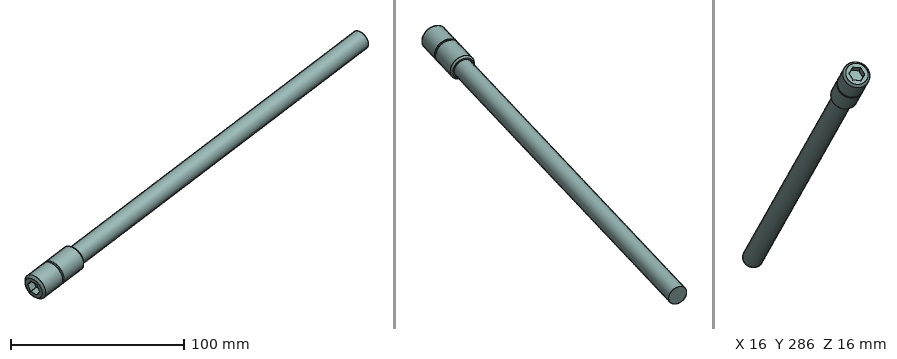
import cadquery as cq
import math

TOTAL_LENGTH = 286.0
HEAD_DIAMETER = 16.0
HEAD_LENGTH = 35.8
ROD_DIAMETER = 12.0

CAP_LENGTH = 16.3
CAP_CHAMFER = 1.5
COLLAR_CHAMFER = 1.1

SOCKET_ACROSS_FLATS = 8.0
SOCKET_DEPTH = 5.0

FRONT_Y = -TOTAL_LENGTH / 2
JOINT_Y = FRONT_Y + CAP_LENGTH
COLLAR_BACK_Y = FRONT_Y + HEAD_LENGTH


def plane_facing_back(y):
    """Plane across the axis at y, with its normal toward +Y."""
    return cq.Workplane(cq.Plane(origin=(0, y, 0), xDir=(1, 0, 0), normal=(0, 1, 0)))


def cylinder(start_y, length, diameter):
    return plane_facing_back(start_y).circle(diameter / 2).extrude(length)


def make_rod():
    """Long rod with a collar, chamfered on both rims, at its -Y end."""
    collar = cylinder(JOINT_Y, HEAD_LENGTH - CAP_LENGTH, HEAD_DIAMETER)
    collar = collar.faces("<Y").chamfer(COLLAR_CHAMFER)
    collar = collar.faces(">Y").chamfer(COLLAR_CHAMFER)
    shaft = cylinder(COLLAR_BACK_Y, TOTAL_LENGTH - HEAD_LENGTH, ROD_DIAMETER)
    return collar.union(shaft)


def make_cap():
    """Chamfered end cap with a blind hex socket, two flats level with XY."""
    cap = cylinder(FRONT_Y, CAP_LENGTH, HEAD_DIAMETER)
    cap = cap.faces("<Y").chamfer(CAP_CHAMFER)
    across_corners = SOCKET_ACROSS_FLATS / math.cos(math.pi / 6)
    socket = plane_facing_back(FRONT_Y).polygon(6, across_corners).extrude(SOCKET_DEPTH)
    return cap.cut(socket)


rod = make_rod()
cap = make_cap()

result = cq.Compound.makeCompound([rod.val(), cap.val()])